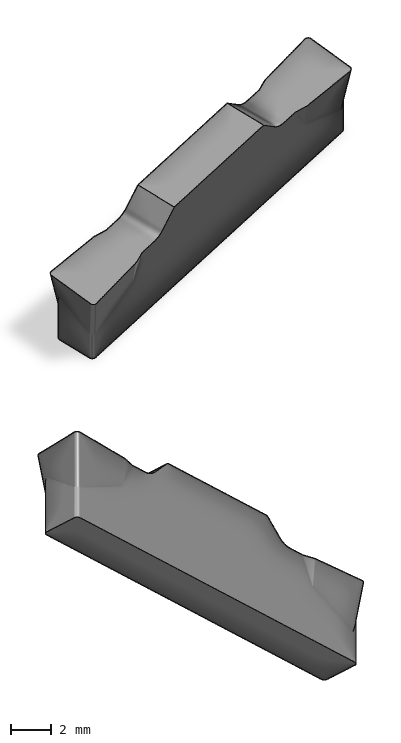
import cadquery as cq
import math


body_width = 2.3
body_length = 19.53
seat_height = 4.58
pad_height = 5.76
pad_length = 6.92
ramp_angle = 45.0
ramp_root_radius = 1.0
body_corner_radius = 0.2

tip_to_tip = 20.33
head_width = 3.073
relief_angle = 7.0
lead_angle = 5.0
side_angle = 3.2
neck_angle = 15.0
neck_start = 6.63
head_root = 5.0
head_depth = 3.6
nose_radius = 0.2
neck_radius = 0.2


def tan_deg(angle):
    return math.tan(math.radians(angle))


def make_body():
    """Side profile in the YZ plane, extruded across the width."""
    half_length = body_length / 2
    half_pad = pad_length / 2
    ramp_foot = half_pad + (pad_height - seat_height) / tan_deg(ramp_angle)
    body = (
        cq.Workplane("YZ")
        .polyline([
            (-half_length, 0),
            (half_length, 0),
            (half_length, seat_height),
            (ramp_foot, seat_height),
            (half_pad, pad_height),
            (-half_pad, pad_height),
            (-ramp_foot, seat_height),
            (-half_length, seat_height),
        ])
        .close()
        .extrude(body_width / 2, both=True)
    )
    for foot in (-ramp_foot, ramp_foot):
        root_edge = cq.selectors.NearestToPointSelector((0, foot, seat_height))
        body = body.edges("|X").edges(root_edge).fillet(ramp_root_radius)
    return body.edges("|Z").fillet(body_corner_radius)


def make_head():
    """Head at the +Y end: its top outline shrinks downwards at the relief angle."""
    half_width = head_width / 2
    leading_tip = tip_to_tip / 2
    trailing_tip = leading_tip - head_width * tan_deg(lead_angle)
    neck_half = half_width - (leading_tip - neck_start) * tan_deg(side_angle)
    root_half = neck_half - (neck_start - head_root) * tan_deg(neck_angle)
    head = (
        cq.Workplane("XY", origin=(0, 0, seat_height))
        .polyline([
            (-half_width, leading_tip),
            (half_width, trailing_tip),
            (neck_half, neck_start),
            (root_half, head_root),
            (-root_half, head_root),
            (-neck_half, neck_start),
        ])
        .close()
        .extrude(-head_depth, taper=relief_angle)
    )
    head = head.faces(">Y").edges("not #Z").fillet(nose_radius)
    for side in (-1, 1):
        neck_corner = cq.selectors.NearestToPointSelector(
            (side * neck_half, neck_start, seat_height - head_depth / 2)
        )
        head = head.edges("not #Z").edges(neck_corner).fillet(neck_radius)
    return head


head = make_head()
opposite_head = head.rotate((0, 0, 0), (0, 0, 1), 180)
result = make_body().union(head).union(opposite_head).clean()